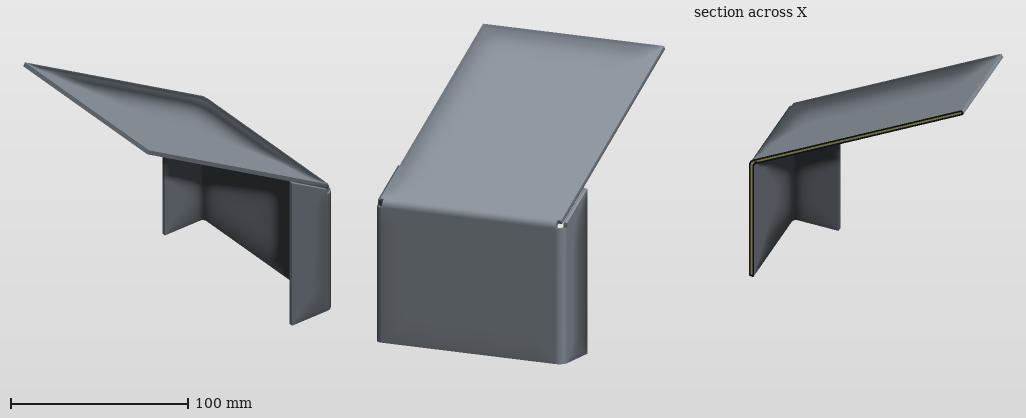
import cadquery as cq
import math

width = 120.0
depth = 131.1
height = 156.5
thickness = 2.5
inner_radius = 2.5
outer_radius = inner_radius + thickness
flange_depth = 30.0
plate_slope = math.radians(30)
plate_clearance = 0.2

sin_slope = math.sin(plate_slope)
cos_slope = math.cos(plate_slope)
plate_run = depth - outer_radius * (1 - sin_slope) - thickness * sin_slope
plate_length = plate_run / cos_slope
wall_height = height - outer_radius * cos_slope - plate_length * sin_slope

wall_width = width - 2 * outer_radius
plate_width = width - 2 * (thickness + plate_clearance)

bend_y = -outer_radius


def bend_point(radius, angle):
    """Point on the plate bend, with the angle measured up from the back wall."""
    return (bend_y + radius * math.cos(angle), wall_height + radius * math.sin(angle))


def along_plate(point):
    """Move a (Y, Z) point from the bend to the free end of the plate."""
    return (point[0] - plate_length * cos_slope, point[1] + plate_length * sin_slope)


def extrude_across(profile, across):
    """Extrude a closed YZ profile symmetrically along X."""
    return profile.close().extrude(across / 2, both=True)


bend_angle = math.pi / 2 - plate_slope
outer_tangent = bend_point(outer_radius, bend_angle)
inner_tangent = bend_point(inner_radius, bend_angle)


def make_channel():
    """Back wall and two side flanges joined by rounded vertical corners."""
    outer = (
        cq.Workplane("XY")
        .box(width, flange_depth, height, centered=(True, False, False))
        .translate((0, -flange_depth, 0))
        .edges("|Z and >Y")
        .fillet(outer_radius)
    )
    inner = (
        cq.Workplane("XY")
        .box(width - 2 * thickness, flange_depth, height, centered=(True, False, False))
        .translate((0, -flange_depth - thickness, 0))
        .edges("|Z and >Y")
        .fillet(inner_radius)
    )
    slope = math.tan(plate_slope)
    flange_back_z = inner_tangent[1] + (inner_tangent[0] - bend_y) * slope
    flange_front_z = flange_back_z + (flange_depth - outer_radius) * slope
    side_outline = (
        cq.Workplane("YZ")
        .moveTo(0, 0)
        .lineTo(0, wall_height)
        .lineTo(bend_y, wall_height)
        .lineTo(bend_y, flange_back_z)
        .lineTo(-flange_depth, flange_front_z)
        .lineTo(-flange_depth, 0)
    )
    return outer.cut(inner).intersect(extrude_across(side_outline, width))


def make_plate_bend():
    """Curved strip between the back wall and the sloping plate."""
    profile = (
        cq.Workplane("YZ")
        .moveTo(*bend_point(outer_radius, 0))
        .threePointArc(bend_point(outer_radius, bend_angle / 2), outer_tangent)
        .lineTo(*inner_tangent)
        .threePointArc(bend_point(inner_radius, bend_angle / 2), bend_point(inner_radius, 0))
    )
    return extrude_across(profile, wall_width)


def make_plate():
    """Flat sloping plate, slightly narrower than the space between the flanges."""
    profile = cq.Workplane("YZ").polyline(
        [outer_tangent, along_plate(outer_tangent), along_plate(inner_tangent), inner_tangent]
    )
    return extrude_across(profile, plate_width)


result = make_channel().union(make_plate_bend()).union(make_plate())